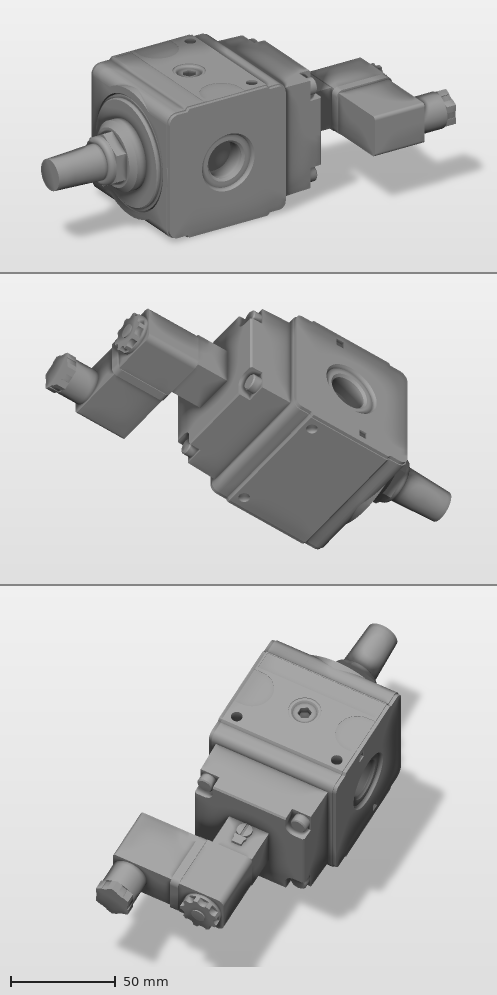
import cadquery as cq
import math


HOUSING_HALF_X = 34.5
HOUSING_FRONT_Y = -33.8
HOUSING_REAR_Y = 33.2
HOUSING_HALF_Z = 33.2
RAISED_HALF_Z = 34.6
RAISED_FRONT_Y = -22.3
RAISED_REAR_Y = 22.7
RAMP_LENGTH = 1.2
FRONT_ROUND = 5.4
REAR_ROUND = 4.2
SIDE_STEP_X = 1.8
SIDE_STEP_DEPTH = 0.5
FRONT_DISC_RADIUS = 33.0

ADJUSTER_SEAT_RADIUS = 29.5
ADJUSTER_SEAT_DEPTH = 4.0
MOUNT_HOLE_RADIUS = 2.8
MOUNT_HOLE_X = 27.0
MOUNT_HOLE_Y = 18.1
MARK_DEPTH = 0.2
END_MARK_RADIUS = 10.5
END_MARK_TIP_X = 18.0
LABEL_HALF_X = 31.8
LABEL_FRONT_Y = -21.9
LABEL_REAR_Y = -12.3
PORT_SPOT_RADIUS = 15.0
PORT_SPOT_FLOOR_RADIUS = 13.7
PORT_SPOT_DEPTH = 1.8
PORT_RADIUS = 9.4
PORT_CHAMFER = 1.2
PORT_DEPTH = 12.5
SIDE_POCKET_SIZE = 4.4
SIDE_POCKET_DEPTH = 1.5
SIDE_POCKET_Y = 6.8
SIDE_POCKET_Z = 28.3
PLUG_SPOT_RADIUS = 8.0
PLUG_SPOT_DEPTH = 0.4
PLUG_HOLE_RADIUS = 5.5
PLUG_HOLE_CHAMFER = 1.0
PLUG_SOCKET_FLATS = 6.0
PLUG_SOCKET_DEPTH = 4.0

CAP_BASE_HALF_X = 30.2
CAP_BASE_HALF_Z = 28.9
CAP_DRAFT = 0.5
CAP_REAR_Y = 56.3
CAP_CHAMFER = 0.8
NOTCH_INNER_X = 19.7
NOTCH_INNER_Z = 17.7
NOTCH_FLOOR_Y = 49.5
NOTCH_ROUND = 4.8
SCREW_X = 25.3
SCREW_Z = 23.0
SCREW_HEAD_RADIUS = 4.2
SCREW_HEAD_TOP_Y = 54.1
SCREW_HEAD_CHAMFER = 0.5

NECK_HALF = 10.7
COIL_FRONT_Y = 73.6
COIL_REAR_Y = 102.9
COIL_HALF_Z = 11.3
COIL_LEFT_X = -11.0
COIL_RIGHT_X = 13.1
COIL_ROUND = 3.2
FLANGE_RIGHT_X = 17.5
FLANGE_OVERHANG_Y = 1.0
FLANGE_HALF_Z = 11.7
CONNECTOR_RIGHT_X = 49.4
CONNECTOR_REAR_Y = 101.9
CONNECTOR_HALF_Z = 10.5
CONNECTOR_ROUND = 1.8

GLAND_RADIUS = 9.2
GLAND_NUT_FRONT_Y = 114.8
GLAND_NUT_REAR_Y = 120.0
GLAND_NUT_FLATS = 17.3
GLAND_NUT_GROOVE_DEPTH = 0.4

COIL_NUT_RADIUS = 10.0
COIL_NUT_REAR_Y = 107.7
COIL_NUT_RIM = 1.5
COIL_NUT_SCALLOPS = 9
SCALLOP_RADIUS = 2.5
SCALLOP_CENTRE_RADIUS = 10.7
COIL_STUD_RADIUS = 3.5
COIL_STUD_LENGTH = 0.5

OVERRIDE_HEIGHT = 1.5
OVERRIDE_KNOB_RADIUS = 3.8
OVERRIDE_KNOB_Y = 60.9
OVERRIDE_SLOT_WIDTH = 1.4
OVERRIDE_SLOT_DEPTH = 0.8
LATCH_HALF_X = 2.5
LATCH_FOOT_HALF_X = 3.2
LATCH_REAR_Y = 69.3
LATCH_SHOULDER_Y = 66.5
LATCH_FOOT_Y = 65.7

SEAT_GAP = 0.8
PLATE_RADIUS = 27.3
PLATE_FRONT_Y = -35.8
PLATE_CHAMFER = 0.5
COLLAR_RADIUS = 17.7
COLLAR_CHAMFER = 2.8
COLLAR_FRONT_Y = -43.5
HEX_FLATS = 24.0
HEX_FRONT_Y = -49.0
RING_FRONT_Y = -52.3
RING_ROUND = 2.2
STEM_BASE_RADIUS = 9.2
STEM_TIP_RADIUS = 8.0
STEM_FRONT_Y = -79.0


def block(x_range, y_range, z_range):
    """Axis-aligned box between the given pairs of limits."""
    lows, highs = zip(x_range, y_range, z_range)
    sizes = [high - low for low, high in zip(lows, highs)]
    return cq.Workplane("XY").box(*sizes, centered=False).translate(lows)


def plane_y(y, x=0, z=0):
    """Workplane at the given Y, facing +Y, with local axes -X and Z."""
    return cq.Workplane(cq.Plane(origin=(x, y, z), xDir=(-1, 0, 0), normal=(0, 1, 0)))


def rod_y(radius, y_start, y_end, x=0, z=0):
    """Cylinder along Y."""
    return plane_y(y_start, x, z).circle(radius).extrude(y_end - y_start)


def hex_y(flats, y_start, y_end, x=0, z=0):
    """Hexagonal prism along Y with its corners at +Z and -Z."""
    corner_diameter = flats / math.cos(math.radians(30))
    outline = plane_y(y_start, x, z).transformed(rotate=(0, 0, 90)).polygon(6, corner_diameter)
    return outline.extrude(y_end - y_start)


def cone(radius_start, radius_end, height, start, direction):
    """Truncated cone from a start point along a direction."""
    solid = cq.Solid.makeCone(radius_start, radius_end, height, cq.Vector(*start), cq.Vector(*direction))
    return cq.Workplane(obj=solid)


def housing_outline(x):
    """Side outline of the housing on the YZ plane at the given X."""
    diagonal = 1 - math.sqrt(0.5)
    front_mid = FRONT_ROUND * diagonal
    rear_mid = REAR_ROUND * diagonal
    front, rear, top = HOUSING_FRONT_Y, HOUSING_REAR_Y, HOUSING_HALF_Z
    return (
        cq.Workplane("YZ", origin=(x, 0, 0))
        .moveTo(front, FRONT_ROUND - top)
        .lineTo(front, top - FRONT_ROUND)
        .threePointArc((front + front_mid, top - front_mid), (front + FRONT_ROUND, top))
        .lineTo(RAISED_FRONT_Y - RAMP_LENGTH, top)
        .lineTo(RAISED_FRONT_Y, RAISED_HALF_Z)
        .lineTo(RAISED_REAR_Y, RAISED_HALF_Z)
        .lineTo(RAISED_REAR_Y + RAMP_LENGTH, top)
        .lineTo(rear - REAR_ROUND, top)
        .threePointArc((rear - rear_mid, top - rear_mid), (rear, top - REAR_ROUND))
        .lineTo(rear, REAR_ROUND - top)
        .threePointArc((rear - rear_mid, rear_mid - top), (rear - REAR_ROUND, -top))
        .lineTo(RAISED_REAR_Y + RAMP_LENGTH, -top)
        .lineTo(RAISED_REAR_Y, -RAISED_HALF_Z)
        .lineTo(RAISED_FRONT_Y, -RAISED_HALF_Z)
        .lineTo(RAISED_FRONT_Y - RAMP_LENGTH, -top)
        .lineTo(front + FRONT_ROUND, -top)
        .threePointArc((front + front_mid, front_mid - top), (front, FRONT_ROUND - top))
        .close()
    )


def housing_block():
    """Housing core with stepped-in side plates and the round front disc that stands over the rounded edges."""
    core_half_x = HOUSING_HALF_X - SIDE_STEP_X
    core = housing_outline(-core_half_x).extrude(2 * core_half_x)
    side = housing_outline(core_half_x).offset2D(-SIDE_STEP_DEPTH).extrude(SIDE_STEP_X)
    disc = rod_y(FRONT_DISC_RADIUS, HOUSING_FRONT_Y, HOUSING_FRONT_Y + FRONT_ROUND)
    return core.union(side).union(side.mirror("YZ")).union(disc)


def adjuster_seat():
    """Round recess that receives the adjuster flange."""
    return rod_y(ADJUSTER_SEAT_RADIUS, HOUSING_FRONT_Y, HOUSING_FRONT_Y + ADJUSTER_SEAT_DEPTH)


def top_marks():
    """Shallow round-ended marks at both sides and the label recess, all in the top face."""
    floor_z = RAISED_HALF_Z - MARK_DEPTH
    depth_range = (floor_z, RAISED_HALF_Z)
    centre_x = END_MARK_TIP_X + END_MARK_RADIUS
    end_round = cq.Workplane("XY", origin=(centre_x, 0, floor_z)).circle(END_MARK_RADIUS).extrude(MARK_DEPTH)
    tail = block((centre_x, HOUSING_HALF_X), (-END_MARK_RADIUS, END_MARK_RADIUS), depth_range)
    end_mark = end_round.union(tail)
    label = block((-LABEL_HALF_X, LABEL_HALF_X), (LABEL_FRONT_Y, LABEL_REAR_Y), depth_range)
    return label.union(end_mark).union(end_mark.mirror("YZ"))


def mounting_holes():
    """Two holes through the housing along Z."""
    return (
        cq.Workplane("XY", origin=(0, 0, -RAISED_HALF_Z))
        .pushPoints([(-MOUNT_HOLE_X, MOUNT_HOLE_Y), (MOUNT_HOLE_X, MOUNT_HOLE_Y)])
        .circle(MOUNT_HOLE_RADIUS)
        .extrude(2 * RAISED_HALF_Z)
    )


def port():
    """Blind port in the -X side with a tapered spotface and a chamfered mouth."""
    face_x = -HOUSING_HALF_X
    spot_x = face_x + PORT_SPOT_DEPTH
    inward = (1, 0, 0)
    spot = cone(PORT_SPOT_RADIUS, PORT_SPOT_FLOOR_RADIUS, PORT_SPOT_DEPTH, (face_x, 0, 0), inward)
    mouth = cone(PORT_RADIUS + PORT_CHAMFER, PORT_RADIUS, PORT_CHAMFER, (spot_x, 0, 0), inward)
    bore = cq.Workplane("YZ", origin=(face_x, 0, 0)).circle(PORT_RADIUS).extrude(PORT_DEPTH)
    return bore.union(spot).union(mouth)


def side_pockets():
    """Two small square pockets in the -X side, diagonally opposite about the port."""
    return (
        cq.Workplane("YZ", origin=(-HOUSING_HALF_X, 0, 0))
        .pushPoints([(SIDE_POCKET_Y, SIDE_POCKET_Z), (-SIDE_POCKET_Y, -SIDE_POCKET_Z)])
        .rect(SIDE_POCKET_SIZE, SIDE_POCKET_SIZE)
        .extrude(SIDE_POCKET_DEPTH)
    )


def plug_recess():
    """Plugged gauge port in the top face: spotface, chamfered mouth and hexagon socket."""
    spot_z = RAISED_HALF_Z - PLUG_SPOT_DEPTH
    plug_z = spot_z - PLUG_HOLE_CHAMFER
    corner_diameter = PLUG_SOCKET_FLATS / math.cos(math.radians(30))
    spot = cq.Workplane("XY", origin=(0, 0, spot_z)).circle(PLUG_SPOT_RADIUS).extrude(PLUG_SPOT_DEPTH)
    mouth = cone(
        PLUG_HOLE_RADIUS, PLUG_HOLE_RADIUS + PLUG_HOLE_CHAMFER, PLUG_HOLE_CHAMFER, (0, 0, plug_z), (0, 0, 1)
    )
    socket = (
        cq.Workplane("XY", origin=(0, 0, plug_z))
        .transformed(rotate=(0, 0, 90))
        .polygon(6, corner_diameter)
        .extrude(-PLUG_SOCKET_DEPTH)
    )
    return spot.union(mouth).union(socket)


def rear_cap():
    """Drafted cap with a notch and a screw head at each corner."""
    length = CAP_REAR_Y - HOUSING_REAR_Y
    cap = (
        plane_y(HOUSING_REAR_Y)
        .rect(2 * CAP_BASE_HALF_X, 2 * CAP_BASE_HALF_Z)
        .extrude(length, taper=math.degrees(math.atan2(CAP_DRAFT, length)))
        .faces(">Y")
        .chamfer(CAP_CHAMFER)
    )
    notch = block(
        (NOTCH_INNER_X, CAP_BASE_HALF_X), (NOTCH_FLOOR_Y, CAP_REAR_Y), (NOTCH_INNER_Z, CAP_BASE_HALF_Z)
    )
    notch = notch.edges("|Y and <X and <Z").fillet(NOTCH_ROUND)
    screw = rod_y(SCREW_HEAD_RADIUS, NOTCH_FLOOR_Y, SCREW_HEAD_TOP_Y, SCREW_X, SCREW_Z)
    screw = screw.faces(">Y").chamfer(SCREW_HEAD_CHAMFER)
    for notch_copy, screw_copy in zip(four_corners(notch), four_corners(screw)):
        cap = cap.cut(notch_copy).union(screw_copy)
    return cap


def four_corners(shape):
    """The shape and its mirror images in X, in Z and in both."""
    mirrored = shape.mirror("YZ")
    return [shape, mirrored, shape.mirror("XY"), mirrored.mirror("XY")]


def solenoid():
    """Neck, coil, flange and connector housing."""
    neck = block((-NECK_HALF, NECK_HALF), (CAP_REAR_Y, COIL_FRONT_Y), (-NECK_HALF, NECK_HALF))
    coil = block((COIL_LEFT_X, COIL_RIGHT_X), (COIL_FRONT_Y, COIL_REAR_Y), (-COIL_HALF_Z, COIL_HALF_Z))
    coil = coil.edges("|Y and <X").fillet(COIL_ROUND)
    flange = block(
        (COIL_RIGHT_X, FLANGE_RIGHT_X),
        (COIL_FRONT_Y - FLANGE_OVERHANG_Y, COIL_REAR_Y + FLANGE_OVERHANG_Y),
        (-FLANGE_HALF_Z, FLANGE_HALF_Z),
    )
    flange = flange.edges("|X").fillet(COIL_ROUND)
    connector = block(
        (FLANGE_RIGHT_X, CONNECTOR_RIGHT_X),
        (COIL_FRONT_Y, CONNECTOR_REAR_Y),
        (-CONNECTOR_HALF_Z, CONNECTOR_HALF_Z),
    )
    connector = connector.edges("|Y and >X").fillet(CONNECTOR_ROUND)
    return neck.union(coil).union(flange).union(connector)


def cable_gland():
    """Round gland on the connector with a hexagon nut, each flat grooved along its middle third."""
    gland_x = CONNECTOR_RIGHT_X - GLAND_RADIUS
    gland = rod_y(GLAND_RADIUS, CONNECTOR_REAR_Y, GLAND_NUT_FRONT_Y, gland_x)
    nut = hex_y(GLAND_NUT_FLATS, GLAND_NUT_FRONT_Y, GLAND_NUT_REAR_Y, gland_x)
    apothem = GLAND_NUT_FLATS / 2
    groove_half_width = apothem * math.tan(math.radians(30)) / 3
    groove = block(
        (gland_x + apothem - GLAND_NUT_GROOVE_DEPTH, gland_x + apothem),
        (GLAND_NUT_FRONT_Y, GLAND_NUT_REAR_Y),
        (-groove_half_width, groove_half_width),
    )
    for side in range(6):
        nut = nut.cut(groove.rotate((gland_x, 0, 0), (gland_x, 1, 0), 60 * side))
    return gland.union(nut)


def coil_nut():
    """Round nut behind the coil, with scalloped grip, plain rim and the stud end."""
    rim_y = COIL_REAR_Y + COIL_NUT_RIM
    nut = rod_y(COIL_NUT_RADIUS, COIL_REAR_Y, COIL_NUT_REAR_Y)
    scallop = rod_y(SCALLOP_RADIUS, rim_y, COIL_NUT_REAR_Y, -SCALLOP_CENTRE_RADIUS)
    for index in range(COIL_NUT_SCALLOPS):
        nut = nut.cut(scallop.rotate((0, 0, 0), (0, 1, 0), 360 / COIL_NUT_SCALLOPS * index))
    return nut.union(rod_y(COIL_STUD_RADIUS, COIL_NUT_REAR_Y, COIL_NUT_REAR_Y + COIL_STUD_LENGTH))


def manual_override():
    """Slotted round knob and latch that stand on top of the neck."""
    base = cq.Workplane("XY", origin=(0, 0, NECK_HALF))
    knob_rear_y = OVERRIDE_KNOB_Y + OVERRIDE_KNOB_RADIUS
    knob = base.center(0, OVERRIDE_KNOB_Y).circle(OVERRIDE_KNOB_RADIUS).extrude(OVERRIDE_HEIGHT)
    top_z = NECK_HALF + OVERRIDE_HEIGHT
    slot = block(
        (-OVERRIDE_SLOT_WIDTH / 2, OVERRIDE_SLOT_WIDTH / 2),
        (OVERRIDE_KNOB_Y - OVERRIDE_KNOB_RADIUS, knob_rear_y),
        (top_z - OVERRIDE_SLOT_DEPTH, top_z),
    )
    latch = (
        base.moveTo(-LATCH_FOOT_HALF_X, knob_rear_y)
        .lineTo(-LATCH_FOOT_HALF_X, LATCH_FOOT_Y)
        .lineTo(-LATCH_HALF_X, LATCH_SHOULDER_Y)
        .lineTo(-LATCH_HALF_X, LATCH_REAR_Y)
        .lineTo(LATCH_HALF_X, LATCH_REAR_Y)
        .lineTo(LATCH_HALF_X, LATCH_SHOULDER_Y)
        .lineTo(LATCH_FOOT_HALF_X, LATCH_FOOT_Y)
        .lineTo(LATCH_FOOT_HALF_X, knob_rear_y)
        .close()
        .extrude(OVERRIDE_HEIGHT)
    )
    return knob.cut(slot).union(latch)


def make_valve():
    """Housing with its recesses, rear cap and solenoid, as one solid."""
    inlet = port()
    valve = housing_block()
    for recess in (adjuster_seat(), top_marks(), mounting_holes(), side_pockets(), plug_recess()):
        valve = valve.cut(recess)
    valve = valve.cut(inlet).cut(inlet.mirror("YZ"))
    for addition in (rear_cap(), solenoid(), cable_gland(), coil_nut(), manual_override()):
        valve = valve.union(addition)
    return valve


def make_adjuster():
    """Flange in the housing seat, plate, collar, hexagon, rounded ring and tapered stem, as one solid."""
    seat_y = HOUSING_FRONT_Y + ADJUSTER_SEAT_DEPTH
    flange = rod_y(ADJUSTER_SEAT_RADIUS - SEAT_GAP, HOUSING_FRONT_Y, seat_y)
    plate = rod_y(PLATE_RADIUS, PLATE_FRONT_Y, HOUSING_FRONT_Y).faces("<Y").chamfer(PLATE_CHAMFER)
    collar = rod_y(COLLAR_RADIUS, COLLAR_FRONT_Y, PLATE_FRONT_Y).faces("<Y").chamfer(COLLAR_CHAMFER)
    hexagon = hex_y(HEX_FLATS, HEX_FRONT_Y, COLLAR_FRONT_Y)
    ring = rod_y(HEX_FLATS / 2, RING_FRONT_Y, HEX_FRONT_Y).faces("<Y").fillet(RING_ROUND)
    stem_length = RING_FRONT_Y - STEM_FRONT_Y
    stem = cone(STEM_BASE_RADIUS, STEM_TIP_RADIUS, stem_length, (0, RING_FRONT_Y, 0), (0, -1, 0))
    return flange.union(plate).union(collar).union(hexagon).union(ring).union(stem)


valve = make_valve()
adjuster = make_adjuster()

result = cq.Compound.makeCompound([valve.solids().val(), adjuster.solids().val()])